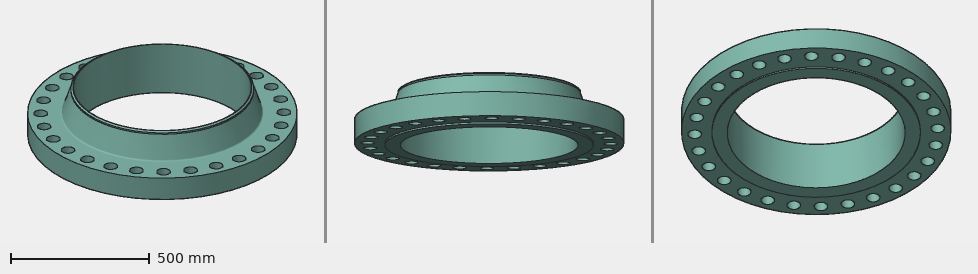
import cadquery as cq

flange_diameter = 971.0
flange_thickness = 88.0
bore_diameter = 641.0

face_diameter = 752.0
face_height = 7.0

overall_height = 200.0
hub_base_diameter = 724.0
weld_end_diameter = 659.5
weld_land = 2.0
bevel_height = 5.0
weld_neck_height = 6.0
hub_fillet = 7.0

bolt_count = 28
bolt_circle_diameter = 876.0
bolt_hole_diameter = 49.0

flange_top = face_height + flange_thickness


def flange_body():
    """Revolve the ring section, including the bore, about the Z axis."""
    bore_radius = bore_diameter / 2
    face_radius = face_diameter / 2
    flange_radius = flange_diameter / 2
    weld_end_radius = weld_end_diameter / 2
    bevel_base = overall_height - bevel_height
    section = (
        cq.Workplane("XZ")
        .moveTo(bore_radius, 0)
        .lineTo(face_radius, 0)
        .lineTo(face_radius, face_height)
        .lineTo(flange_radius, face_height)
        .lineTo(flange_radius, flange_top)
        .lineTo(hub_base_diameter / 2, flange_top)
        .lineTo(weld_end_radius, bevel_base - weld_neck_height)
        .lineTo(weld_end_radius, bevel_base)
        .lineTo(bore_radius + weld_land, overall_height)
        .lineTo(bore_radius, overall_height)
        .close()
    )
    return section.revolve(360, (0, 0, 0), (0, 1, 0))


def fillet_hub_base(body):
    """Round the corner where the hub meets the flange."""
    box_reach = hub_base_diameter / 2 + hub_fillet
    corner = cq.selectors.BoxSelector(
        (-box_reach, -box_reach, flange_top - hub_fillet),
        (box_reach, box_reach, flange_top + hub_fillet),
        boundingbox=True,
    )
    return body.edges(corner).fillet(hub_fillet)


def bolt_holes():
    """Through holes evenly spaced on the bolt circle, the first on +X."""
    return (
        cq.Workplane("XY")
        .polarArray(bolt_circle_diameter / 2, 0, 360, bolt_count)
        .circle(bolt_hole_diameter / 2)
        .extrude(overall_height)
    )


result = fillet_hub_base(flange_body()).cut(bolt_holes())